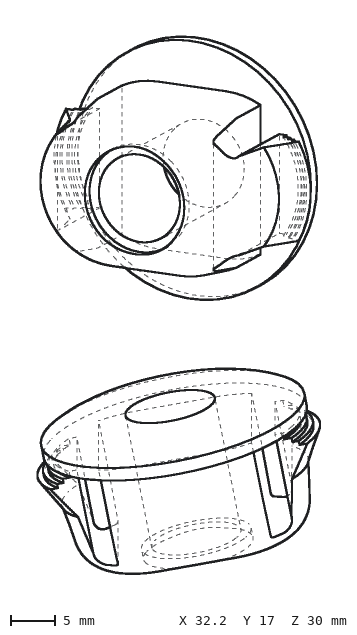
import cadquery as cq
import math

longest_side = 32.2
flange_radius = 15.0
flange_rim = 1.5
dome_height = 1.5
dome_flat_radius = 9.98

end_offset = 4.3
body_radius = 9.72
body_length = 13.97
taper_start = -6.0
taper_end = -10.55
taper_radius = 9.0
nose_flat_radius = 5.1

bore_radius = 5.1
counterbore_radius = 6.25
counterbore_depth = 1.2

leg_half_width = 5.75
slot_inner = 8.7
slot_outer = 11.27
slot_end = -11.88
slot_outer_round = -slot_end + taper_end
slot_inner_round = 0.32

flare_radius = longest_side / 2 - end_offset
flare_end = -2.2
catch_steps = [(11.05, -1.7), (10.43, -1.22), (body_radius, -0.48)]

clearance = 2 * longest_side


def y_cylinder(radius, y_start, y_end):
    return cq.Workplane("XZ", origin=(0, y_start, 0)).circle(radius).extrude(y_start - y_end)


def block(x_range, y_range, z_range):
    """Box given by its limits along each axis."""
    sizes = [high - low for low, high in (x_range, y_range, z_range)]
    corner = (x_range[0], y_range[0], z_range[0])
    return cq.Workplane("XY").box(*sizes, centered=False).translate(corner)


def revolve_about_y(profile, x_offset=0):
    return profile.close().revolve(360, (0, 0, 0), (0, 1, 0)).translate((x_offset, 0, 0))


def make_flange():
    top = flange_rim + dome_height
    run = flange_radius - dome_flat_radius
    arc_radius = (run**2 + dome_height**2) / (2 * dome_height)
    half_angle = math.asin(run / arc_radius) / 2
    arc_middle = (
        dome_flat_radius + arc_radius * math.sin(half_angle),
        top - arc_radius * (1 - math.cos(half_angle)),
    )
    profile = (
        cq.Workplane("XY")
        .lineTo(flange_radius, 0)
        .lineTo(flange_radius, flange_rim)
        .threePointArc(arc_middle, (dome_flat_radius, top))
        .lineTo(0, top)
    )
    return revolve_about_y(profile)


def body_profile():
    """Half section of the body: straight wall, slight taper, round nose."""
    return (
        cq.Workplane("XY")
        .lineTo(body_radius, 0)
        .lineTo(body_radius, taper_start)
        .lineTo(taper_radius, taper_end)
        .tangentArcPoint((nose_flat_radius, -body_length), relative=False)
        .lineTo(0, -body_length)
    )


def make_body():
    middle = (
        body_profile()
        .close()
        .extrude(2 * end_offset)
        .translate((0, 0, -end_offset))
        .rotate((0, 0, 0), (0, 1, 0), 90)
    )
    body = middle.union(middle.mirror("XY"))
    for side in (-1, 1):
        body = body.union(revolve_about_y(body_profile(), side * end_offset))
    return body


def make_slot():
    """Slot beside the +X leg, with the corners beyond the leg's sides cleared."""
    slot = block((slot_inner, slot_outer), (slot_end, 0), (-clearance, clearance))
    slot = slot.faces("<Y").edges("|Z").edges(">X").fillet(slot_outer_round)
    slot = slot.faces("<Y").edges("|Z").edges("<X").fillet(slot_inner_round)
    for z_range in ((leg_half_width, clearance), (-clearance, -leg_half_width)):
        slot = slot.union(block((slot_outer, clearance), (taper_end, 0), z_range))
    tip_gap = block((slot_inner, clearance), (catch_steps[-1][1], 0), (-clearance, clearance))
    return slot.union(tip_gap)


def make_leg_tip():
    """Flared end of the +X leg with its stepped catch."""
    profile = (
        cq.Workplane("XY")
        .moveTo(0, taper_start)
        .lineTo(body_radius, taper_start)
        .lineTo(flare_radius, flare_end)
    )
    step_start = flare_end
    for step_radius, step_end in catch_steps:
        profile = profile.lineTo(step_radius, step_start).lineTo(step_radius, step_end)
        step_start = step_end
    tip = revolve_about_y(profile.lineTo(0, step_start), end_offset)
    leg_space = block((slot_outer, clearance), (-body_length, 0), (-leg_half_width, leg_half_width))
    return tip.intersect(leg_space)


slot = make_slot()
leg_tip = make_leg_tip()

body = make_body()
body = body.cut(slot).cut(slot.mirror("YZ"))
body = body.union(leg_tip).union(leg_tip.mirror("YZ"))

bore = y_cylinder(bore_radius, flange_rim + dome_height, -body_length)
counterbore = y_cylinder(counterbore_radius, counterbore_depth - body_length, -body_length)
result = make_flange().union(body).cut(bore).cut(counterbore)